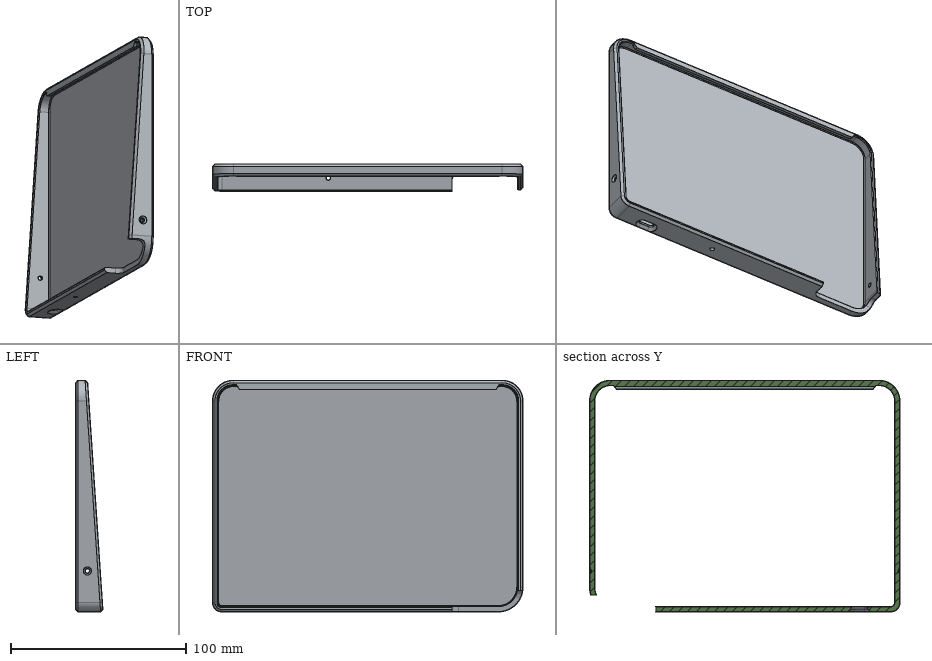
import cadquery as cq
width = 177.2
height = 132.2
depth_bottom = 15.6
depth_top = 6.7

wall = 3.0
plate_thickness = 1.2
top_corner_radius = 11.9
bottom_left_radius = 5.3
bottom_right_radius = 14.2
outer_chamfer = 1.5
inner_edge_chamfer = 0.5

lip_bottom = height - 5.1
lip_thickness = 1.8
lip_side_gap = 15.5
lip_end_slant = 1.8

opening_left = 136.8
opening_top = 12.2
opening_floor = 5.1
opening_fillet = 3.7

hole_diameter = 2.5
countersink_diameter = 4.6
side_hole_depth = 6.7
side_hole_height = 23.4
bottom_hole_x = 66.1
bottom_hole_depth = 8.0
slot_x = 23.2
slot_depth = 5.0
slot_length = 9.4
slot_width = 3.5
slot_flare = 1.8
flare_angle = 45.0

margin = 8.9
slope = (depth_bottom - depth_top) / height


def front_depth(z):
    """Distance from the back face to the sloping front plane at height z."""
    return depth_bottom - slope * (z - outer_chamfer)


def rim_outline(inset, depth):
    """Closed rounded outline, inset from the outer wall, at the given depth."""
    left, right = inset, width - inset
    bottom, top = inset, height - inset
    top_radius = top_corner_radius - inset
    right_radius = bottom_right_radius - inset
    left_radius = bottom_left_radius - inset
    return (
        cq.Workplane("XZ", origin=(0, -depth, 0))
        .moveTo(left + left_radius, bottom)
        .lineTo(right - right_radius, bottom)
        .radiusArc((right, bottom + right_radius), -right_radius)
        .lineTo(right, top - top_radius)
        .radiusArc((right - top_radius, top), -top_radius)
        .lineTo(left + top_radius, top)
        .radiusArc((left, top - top_radius), -top_radius)
        .lineTo(left, bottom + left_radius)
        .radiusArc((left + left_radius, bottom), -left_radius)
        .close()
    )


def front_layer(thickness):
    """Slab of the given thickness just behind the sloping front plane."""
    low, high = -margin, height + margin
    return (
        cq.Workplane("YZ")
        .moveTo(-front_depth(low), low)
        .lineTo(-front_depth(high), high)
        .lineTo(-front_depth(high) + thickness, high)
        .lineTo(-front_depth(low) + thickness, low)
        .close()
        .extrude(width)
    )


def make_shell():
    full_depth = depth_bottom + margin
    outer = rim_outline(0, 0).extrude(full_depth).intersect(front_layer(2 * full_depth))
    outer = outer.faces("<Y or >Y").edges().chamfer(outer_chamfer)
    cavity = rim_outline(wall, plate_thickness).extrude(full_depth)
    cavity = cavity.faces(">Y").edges().chamfer(inner_edge_chamfer)
    shell = outer.cut(cavity)

    mouth = [wire for face in shell.faces().vals() for wire in face.innerWires()][0]
    return shell.newObject(mouth.Edges()).chamfer(inner_edge_chamfer)


def make_lip():
    top = height - wall
    left, right = lip_side_gap, width - lip_side_gap
    bar = (
        cq.Workplane("XZ")
        .moveTo(left, lip_bottom)
        .lineTo(right, lip_bottom)
        .lineTo(right + lip_end_slant, top)
        .lineTo(right + lip_end_slant, height - outer_chamfer)
        .lineTo(left - lip_end_slant, height - outer_chamfer)
        .lineTo(left - lip_end_slant, top)
        .close()
        .extrude(depth_bottom)
    )
    return bar.intersect(front_layer(lip_thickness))


def make_opening():
    length = width - opening_left + margin
    block = (
        cq.Workplane("XY")
        .box(length, depth_bottom, opening_top + margin, centered=False)
        .translate((opening_left, -opening_floor - depth_bottom, -margin))
    )
    return block.edges(">Y and (<X or >Z)").fillet(opening_fillet)


def make_side_holes():
    axis_start = cq.Vector(0, -side_hole_depth, side_hole_height)
    cutter = cq.Solid.makeCylinder(hole_diameter / 2, width, axis_start, cq.Vector(1, 0, 0))
    sink_depth = (countersink_diameter - hole_diameter) / 2
    for x, direction in ((0, 1), (width, -1)):
        sink = cq.Solid.makeCone(
            countersink_diameter / 2,
            hole_diameter / 2,
            sink_depth,
            axis_start + cq.Vector(x, 0, 0),
            cq.Vector(direction, 0, 0),
        )
        cutter = cutter.fuse(sink)
    return cutter


def make_bottom_holes():
    hole_center = cq.Workplane("XY").center(bottom_hole_x, -bottom_hole_depth)
    slot_center = cq.Workplane("XY").center(slot_x, -slot_depth)
    hole = hole_center.circle(hole_diameter / 2).extrude(2 * wall)
    slot = slot_center.slot2D(slot_length, slot_width).extrude(2 * wall)
    flare = (
        slot_center
        .slot2D(slot_length + 2 * slot_flare, slot_width + 2 * slot_flare)
        .extrude(slot_flare, taper=flare_angle)
    )
    return hole.union(slot).union(flare)


result = make_shell().union(make_lip()).cut(make_opening())
result = result.cut(make_side_holes()).cut(make_bottom_holes())